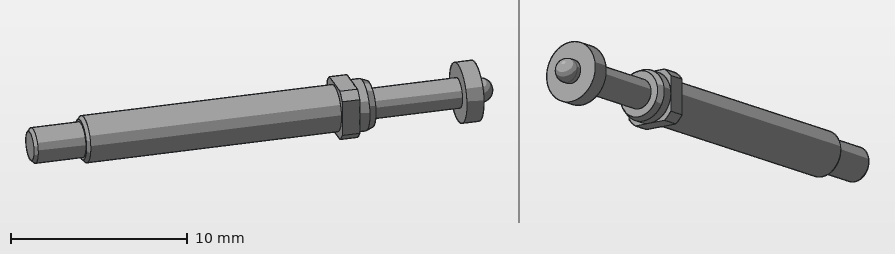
import cadquery as cq

length = 27.3

tip_diameter = 1.4
tip_length = 1.0

head_diameter = 3.5
head_thickness = 1.0

stem_diameter = 1.75

collar_station = 7.25
collar_diameter = 3.0
collar_bevel_length = 0.4
collar_bevel_depth = 0.16

flange_station = 8.27
flange_length = 1.05
flange_diameter = 3.65
flange_across_flats = collar_diameter

barrel_diameter = 2.7
barrel_end_station = 24.3
barrel_chamfer = 0.2

tail_diameter = 2.05
tail_chamfer = 0.2

tip_y = length / 2
head_end = tip_length + head_thickness
flange_end = flange_station + flange_length


def y_at(station):
    """Y coordinate of a point the given distance behind the tip."""
    return tip_y - station


def rod(diameter, start_station, end_station):
    """Round rod on the Y axis, from its front station back to its end station."""
    return (
        cq.Workplane("XZ", origin=(0, y_at(start_station), 0))
        .circle(diameter / 2)
        .extrude(end_station - start_station)
    )


def make_tip():
    """Short cylinder closed by a hemisphere."""
    radius = tip_diameter / 2
    dome = cq.Workplane("XY", origin=(0, y_at(radius), 0)).sphere(radius)
    return dome.union(rod(tip_diameter, radius, tip_length))


def make_collar():
    """Round collar with a steep bevel facing the stem."""
    collar = rod(collar_diameter, collar_station, flange_station)
    return collar.faces(">Y").edges().chamfer(collar_bevel_length, collar_bevel_depth)


def make_flange():
    """Disc intersected with a square bar, leaving four flats and round corners."""
    square_bar = (
        cq.Workplane("XZ", origin=(0, y_at(flange_station), 0))
        .rect(flange_across_flats, flange_across_flats)
        .extrude(flange_length)
    )
    return rod(flange_diameter, flange_station, flange_end).intersect(square_bar)


def make_chamfered_rod(diameter, start_station, end_station, chamfer):
    """Rod with a chamfer around its tail-side end."""
    return rod(diameter, start_station, end_station).faces("<Y").chamfer(chamfer)


head = rod(head_diameter, tip_length, head_end)
stem = rod(stem_diameter, head_end, collar_station)
barrel = make_chamfered_rod(barrel_diameter, flange_end, barrel_end_station, barrel_chamfer)
tail = make_chamfered_rod(tail_diameter, barrel_end_station, length, tail_chamfer)

result = make_tip()
for section in (head, stem, make_collar(), make_flange(), barrel, tail):
    result = result.union(section)